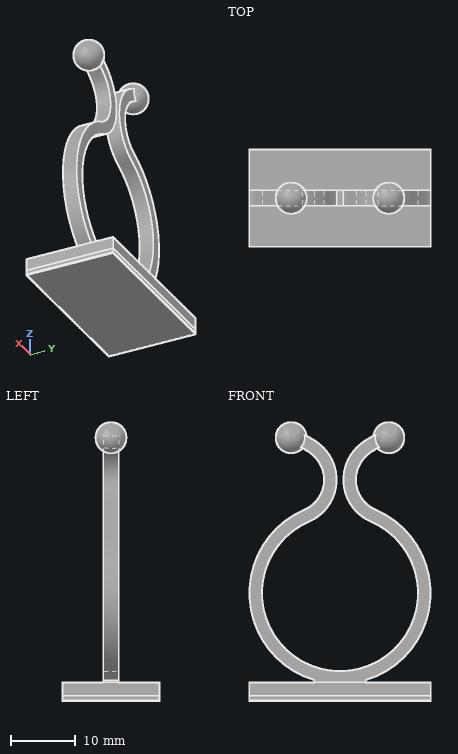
import cadquery as cq
import math

base_length = 28.0
base_width = 15.0
liner_thickness = 0.17
tape_thickness = 0.7
plate_thickness = 2.0
tape_bottom = liner_thickness
plate_bottom = tape_bottom + tape_thickness

strip_thickness = 1.98
strip_width = 2.4
ring_radius = 13.0
neck_radius = 6.0
tip_radius = 8.0
neck_gap = 1.0
ring_center_z = 16.65
tip_start_angle = 45.0
tip_end_angle = 80.0

foot_length = 8.0
ball_radius = 2.4

ring_center = (0, ring_center_z)
neck_x = (neck_gap + strip_thickness) / 2 + neck_radius
neck_rise = math.sqrt((ring_radius + neck_radius) ** 2 - neck_x ** 2)
neck_center = (neck_x, ring_center_z + neck_rise)
ring_end_angle = 180 - math.degrees(math.atan2(neck_rise, neck_x))
ring_other_end_angle = 180 - ring_end_angle + 360
neck_start_angle = ring_end_angle - 180


def polar(center, radius, angle):
    """XZ point at an angle measured from -X toward +Z."""
    turn = math.radians(angle)
    return (center[0] - radius * math.cos(turn), center[1] + radius * math.sin(turn))


tip_center = polar(neck_center, neck_radius - tip_radius, tip_start_angle)
ball_x, ball_z = polar(tip_center, tip_radius, tip_end_angle)


def curved_strip(center, radius, start, end):
    """Arc-shaped length of strip, centred on the XZ plane."""
    middle = (start + end) / 2
    inner = radius - strip_thickness / 2
    outer = radius + strip_thickness / 2
    return (
        cq.Workplane("XZ")
        .moveTo(*polar(center, inner, start))
        .threePointArc(polar(center, inner, middle), polar(center, inner, end))
        .lineTo(*polar(center, outer, end))
        .threePointArc(polar(center, outer, middle), polar(center, outer, start))
        .close()
        .extrude(strip_width / 2, both=True)
    )


def base_layer(bottom, thickness):
    return cq.Workplane("XY", origin=(0, 0, bottom)).rect(base_length, base_width).extrude(thickness)


def make_right_arm():
    """Right neck bend, tip bend and end ball."""
    neck = curved_strip(neck_center, neck_radius, neck_start_angle, tip_start_angle)
    tip = curved_strip(tip_center, tip_radius, tip_start_angle, tip_end_angle)
    ball = cq.Workplane("XY", origin=(ball_x, 0, ball_z)).sphere(ball_radius)
    return neck.union(tip).union(ball)


def make_foot():
    """Block filling the space between the ring bottom and the plate."""
    block = (
        cq.Workplane("XY", origin=(0, 0, plate_bottom))
        .rect(foot_length, strip_width)
        .extrude(ring_center_z - plate_bottom)
    )
    ring_core = (
        cq.Workplane("XZ", origin=(0, 0, ring_center_z))
        .circle(ring_radius)
        .extrude(strip_width, both=True)
    )
    return block.cut(ring_core)


def make_clip():
    """Plate, foot, open ring and both arms as one solid."""
    ring = curved_strip(ring_center, ring_radius, ring_end_angle, ring_other_end_angle)
    right_arm = make_right_arm()
    left_arm = right_arm.mirror("YZ")
    plate = base_layer(plate_bottom, plate_thickness)
    return plate.union(make_foot()).union(ring).union(right_arm).union(left_arm)


clip = make_clip()
tape = base_layer(tape_bottom, tape_thickness)
liner = base_layer(0, liner_thickness)

result = cq.Compound.makeCompound([clip.val(), tape.val(), liner.val()])